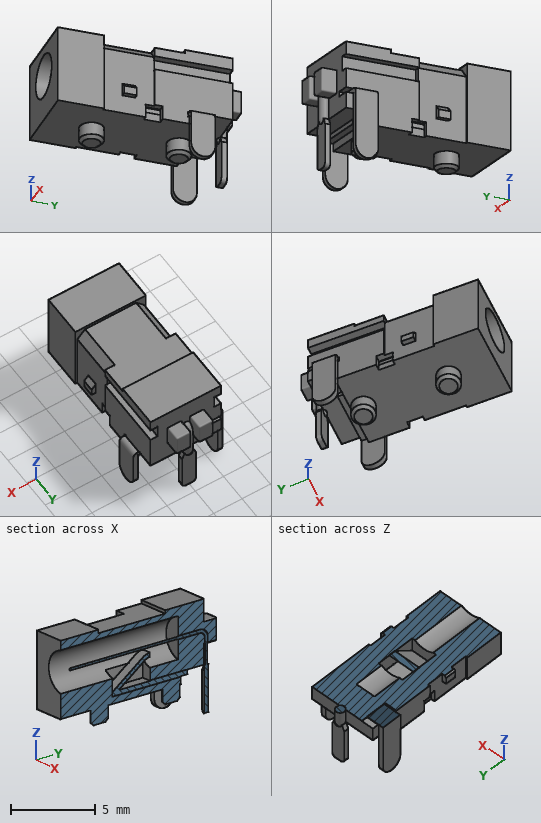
import cadquery as cq
import math


WIDTH = 5.0
LENGTH = 11.0
HEIGHT = 5.0
HALF_WIDTH = WIDTH / 2

COLLAR_LENGTH = 2.9
WAIST_END = 6.1
WAIST_HALF_WIDTH = 2.36
WAIST_SHOULDER_Z = 4.2
WAIST_TOP_HALF_WIDTH = 1.81
TOP_STEP_END = 8.0
LOWERED_TOP_Z = 4.78

GROOVE_BOTTOM_Z = 3.3
GROOVE_TOP_Z = WAIST_SHOULDER_Z
GROOVE_DEPTH = 0.5

CATCH_CENTER_Y = 4.5
CATCH_LENGTH = 0.8
CATCH_BOTTOM_Z = 1.2
CATCH_EDGE_Z = 1.7
CATCH_HALF_SPAN = 2.67
CATCH_TOP_Z = CATCH_EDGE_Z + CATCH_HALF_SPAN - WAIST_HALF_WIDTH

WINDOW_CENTER_Y = 6.08
WINDOW_LENGTH = 1.02
WINDOW_HEIGHT = 0.87
WINDOW_WALL_X = 2.08

BORE_DIAMETER = 2.8
BORE_Z = 3.0
BORE_DEPTH = 9.0

PEG_DIAMETER = 1.5
PEG_LENGTH = 1.0
PEG_CHAMFER = 0.2
PEG_POSITIONS_Y = (3.0, 8.5)

BOSS_WIDTH = 1.0
BOSS_LENGTH = 1.0
BOSS_BOTTOM_Z = 2.1
BOSS_HEIGHT = 1.5
BOSS_CENTER_X = 0.795
BOSS_FILLET = 0.1

STRIP_THICKNESS = 0.3
LEG_THICKNESS = 0.35
LEG_WIDTH = 1.5
LEG_OUTER_X = 2.9
LEG_BOTTOM_Z = -2.3
BEND_RADIUS = 0.3
SLOT_CLEARANCE = 0.07

SWITCH_Y = 9.8
SWITCH_TOP_Z = 2.1
SWITCH_INNER_X = 1.6

SLEEVE_Y = 9.0
SLEEVE_TOP_Z = 0.8
SLEEVE_BOTTOM_Z = SLEEVE_TOP_Z - STRIP_THICKNESS
SLEEVE_FRONT_Y = 4.0
SLEEVE_REAR_Y = SLEEVE_Y + LEG_WIDTH / 2

SPRING_WIDTH = 1.93
SPRING_CREST_Z = 2.59
SPRING_ANGLE = math.radians(35)
SPRING_CREST_RADIUS = 0.95

UNDERCUT_Z = SLEEVE_TOP_Z
UNDERCUT_START = PEG_POSITIONS_Y[1] + PEG_DIAMETER / 2

PIN_DIAMETER = 0.65
PIN_RADIUS = PIN_DIAMETER / 2
PIN_TIP_CENTER_Y = 0.75
PIN_BEND_RADIUS = 0.5
SHANK_Y = 11.19
SHANK_BOTTOM_Z = 0.8
TAIL_WIDTH = 1.0
TAIL_THICKNESS = 0.36
TAIL_SHOULDER_Z = 0.4
TAIL_FILLET = 0.3


def block(x_min, x_max, y_min, y_max, z_min, z_max):
    """Box between the given limits."""
    size = (x_max - x_min, y_max - y_min, z_max - z_min)
    return cq.Workplane("XY").box(*size, centered=False).translate((x_min, y_min, z_min))


def prism_along_y(points, y_min, y_max):
    """Outline of (x, z) points, extruded from y_min to y_max."""
    return cq.Workplane("XZ", origin=(0, y_min, 0)).polyline(points).close().extrude(y_min - y_max)


def mirrored_pair(shape):
    """The shape together with its copy on the other side of the YZ plane."""
    return shape.union(shape.mirror("YZ"))



def make_center_pin():
    bend_middle = PIN_BEND_RADIUS * math.sin(math.radians(45))
    bend_center_y = SHANK_Y - PIN_BEND_RADIUS
    bend_center_z = BORE_Z - PIN_BEND_RADIUS
    axis_line = (
        cq.Workplane("YZ")
        .moveTo(PIN_TIP_CENTER_Y, BORE_Z)
        .lineTo(bend_center_y, BORE_Z)
        .threePointArc(
            (bend_center_y + bend_middle, bend_center_z + bend_middle), (SHANK_Y, bend_center_z)
        )
        .lineTo(SHANK_Y, SHANK_BOTTOM_Z)
    )
    pin = (
        cq.Workplane("XZ", origin=(0, PIN_TIP_CENTER_Y, BORE_Z)).circle(PIN_RADIUS).sweep(axis_line)
    )
    ball = cq.Workplane("XY").sphere(PIN_RADIUS)
    tip_ball = ball.rotate((0, 0, 0), (1, 0, 0), 90).translate((0, PIN_TIP_CENTER_Y, BORE_Z))
    shank_ball = ball.translate((0, SHANK_Y, SHANK_BOTTOM_Z))
    return pin.union(tip_ball).union(shank_ball).union(make_pin_tail())


def make_pin_tail():
    half_width = TAIL_WIDTH / 2
    outline = [
        (-half_width, LEG_BOTTOM_Z),
        (half_width, LEG_BOTTOM_Z),
        (half_width, TAIL_SHOULDER_Z),
        (PIN_RADIUS, SHANK_BOTTOM_Z),
        (-PIN_RADIUS, SHANK_BOTTOM_Z),
        (-half_width, TAIL_SHOULDER_Z),
    ]
    tail = prism_along_y(outline, LENGTH, LENGTH + TAIL_THICKNESS)
    lower_corners = cq.selectors.BoxSelector(
        (-TAIL_WIDTH, 0, LEG_BOTTOM_Z - TAIL_FILLET),
        (TAIL_WIDTH, 2 * LENGTH, LEG_BOTTOM_Z + TAIL_FILLET),
    )
    return tail.edges("|Y").edges(lower_corners).fillet(TAIL_FILLET)



def make_bent_leg(center_y, top_z, inner_x):
    """Strip running out to +X from inner_x, then bent down into a round-ended leg."""
    y_min = center_y - LEG_WIDTH / 2
    y_max = center_y + LEG_WIDTH / 2
    leg_inner_x = LEG_OUTER_X - LEG_THICKNESS
    strip = block(inner_x, LEG_OUTER_X, y_min, y_max, top_z - STRIP_THICKNESS, top_z)
    end_radius = LEG_WIDTH / 2
    end_center_z = LEG_BOTTOM_Z + end_radius
    leg = block(leg_inner_x, LEG_OUTER_X, y_min, y_max, end_center_z, top_z)
    bent_strip = strip.union(leg).edges("|Y and >X and >Z").fillet(BEND_RADIUS)
    round_end = (
        cq.Workplane("YZ", origin=(leg_inner_x, center_y, end_center_z))
        .circle(end_radius)
        .extrude(LEG_THICKNESS)
    )
    return bent_strip.union(round_end)


def make_switch_terminal():
    return make_bent_leg(SWITCH_Y, SWITCH_TOP_Z, SWITCH_INNER_X).mirror("YZ")


def make_sleeve_plate():
    """Base plate with a locking lug that ends flush with the wall of each side window."""
    half_width = SPRING_WIDTH / 2
    plate = block(
        -half_width, half_width, SLEEVE_FRONT_Y, SLEEVE_REAR_Y, SLEEVE_BOTTOM_Z, SLEEVE_TOP_Z
    )
    lugs = block(
        -WINDOW_WALL_X,
        WINDOW_WALL_X,
        WINDOW_CENTER_Y - WINDOW_LENGTH / 2,
        WINDOW_CENTER_Y + WINDOW_LENGTH / 2,
        SLEEVE_BOTTOM_Z,
        SLEEVE_TOP_Z,
    )
    return plate.union(lugs)


def spring_crest_y():
    """Y of the crest line, where the rounded top of the spring becomes level."""
    arc_rise = SPRING_CREST_RADIUS * (1 - math.cos(SPRING_ANGLE))
    arc_run = SPRING_CREST_RADIUS * math.sin(SPRING_ANGLE)
    ramp_rise = SPRING_CREST_Z - arc_rise - SLEEVE_TOP_Z
    return SLEEVE_FRONT_Y + ramp_rise / math.tan(SPRING_ANGLE) + arc_run


def make_contact_spring():
    crest_y = spring_crest_y()
    center_z = SPRING_CREST_Z - SPRING_CREST_RADIUS

    def arc_point(radius, angle):
        return (crest_y - radius * math.sin(angle), center_z + radius * math.cos(angle))

    inner_radius = SPRING_CREST_RADIUS - STRIP_THICKNESS
    under_start_y = SLEEVE_FRONT_Y + STRIP_THICKNESS / math.sin(SPRING_ANGLE)
    profile = (
        cq.Workplane("YZ")
        .moveTo(SLEEVE_FRONT_Y, SLEEVE_TOP_Z)
        .lineTo(*arc_point(SPRING_CREST_RADIUS, SPRING_ANGLE))
        .threePointArc(
            arc_point(SPRING_CREST_RADIUS, SPRING_ANGLE / 2), arc_point(SPRING_CREST_RADIUS, 0)
        )
        .lineTo(*arc_point(inner_radius, 0))
        .threePointArc(arc_point(inner_radius, SPRING_ANGLE / 2), arc_point(inner_radius, SPRING_ANGLE))
        .lineTo(under_start_y, SLEEVE_TOP_Z)
        .close()
    )
    return profile.extrude(SPRING_WIDTH / 2, both=True)


def make_sleeve_terminal():
    leg = make_bent_leg(SLEEVE_Y, SLEEVE_TOP_Z, 0)
    return make_sleeve_plate().union(leg).union(make_contact_spring())



def make_outer_block():
    body = block(-HALF_WIDTH, HALF_WIDTH, 0, LENGTH, 0, HEIGHT)
    lowered_top = block(
        -HALF_WIDTH, HALF_WIDTH, COLLAR_LENGTH, TOP_STEP_END, LOWERED_TOP_Z, HEIGHT
    )
    waist_side = prism_along_y(
        [
            (HALF_WIDTH, 0),
            (WAIST_HALF_WIDTH, 0),
            (WAIST_HALF_WIDTH, WAIST_SHOULDER_Z),
            (WAIST_TOP_HALF_WIDTH, LOWERED_TOP_Z),
            (HALF_WIDTH, LOWERED_TOP_Z),
        ],
        COLLAR_LENGTH,
        WAIST_END,
    )
    groove = block(
        HALF_WIDTH - GROOVE_DEPTH, HALF_WIDTH, WAIST_END, LENGTH, GROOVE_BOTTOM_Z, GROOVE_TOP_Z
    )
    window = block(
        WINDOW_WALL_X,
        HALF_WIDTH,
        WINDOW_CENTER_Y - WINDOW_LENGTH / 2,
        WINDOW_CENTER_Y + WINDOW_LENGTH / 2,
        0,
        WINDOW_HEIGHT,
    )
    undercut = block(-HALF_WIDTH, HALF_WIDTH, UNDERCUT_START, LENGTH, 0, UNDERCUT_Z)
    body = body.cut(lowered_top).cut(undercut)
    for side_cut in (waist_side, groove, window):
        body = body.cut(mirrored_pair(side_cut))
    return body


def make_catches():
    catch = prism_along_y(
        [
            (0, CATCH_BOTTOM_Z),
            (CATCH_HALF_SPAN, CATCH_BOTTOM_Z),
            (CATCH_HALF_SPAN, CATCH_EDGE_Z),
            (WAIST_HALF_WIDTH, CATCH_TOP_Z),
            (0, CATCH_TOP_Z),
        ],
        CATCH_CENTER_Y - CATCH_LENGTH / 2,
        CATCH_CENTER_Y + CATCH_LENGTH / 2,
    )
    return mirrored_pair(catch)


def make_peg(center_y):
    peg = cq.Workplane("XY", origin=(0, center_y, 0)).circle(PEG_DIAMETER / 2).extrude(-PEG_LENGTH)
    return peg.faces("<Z").chamfer(PEG_CHAMFER)


def make_bosses():
    boss = block(
        BOSS_CENTER_X - BOSS_WIDTH / 2,
        BOSS_CENTER_X + BOSS_WIDTH / 2,
        LENGTH,
        LENGTH + BOSS_LENGTH,
        BOSS_BOTTOM_Z,
        BOSS_BOTTOM_Z + BOSS_HEIGHT,
    )
    return mirrored_pair(boss.edges("|Y or >Y").fillet(BOSS_FILLET))


def make_terminal_slots():
    """Side slots through which the two terminals leave; both are open to the rear."""
    switch_slot = block(
        -HALF_WIDTH,
        -SWITCH_INNER_X,
        SWITCH_Y - LEG_WIDTH / 2 - SLOT_CLEARANCE,
        LENGTH,
        SWITCH_TOP_Z - STRIP_THICKNESS,
        SWITCH_TOP_Z,
    )
    sleeve_slot = block(
        0,
        HALF_WIDTH,
        SLEEVE_Y - LEG_WIDTH / 2 - SLOT_CLEARANCE,
        LENGTH,
        SLEEVE_BOTTOM_Z,
        SLEEVE_TOP_Z,
    )
    return switch_slot.union(sleeve_slot)


def make_bore():
    """Socket bore, with a pocket in its floor for the contact spring."""
    bore = (
        cq.Workplane("XZ", origin=(0, 0, BORE_Z)).circle(BORE_DIAMETER / 2).extrude(-BORE_DEPTH)
    )
    half_width = SPRING_WIDTH / 2
    pocket = block(-half_width, half_width, SLEEVE_FRONT_Y, spring_crest_y(), SLEEVE_TOP_Z, BORE_Z)
    return bore.union(pocket)


def make_housing(pin):
    body = make_outer_block().union(make_catches()).union(make_bosses())
    for center_y in PEG_POSITIONS_Y:
        body = body.union(make_peg(center_y))
    body = body.cut(make_bore()).cut(make_terminal_slots())
    return body.cut(make_sleeve_plate()).cut(pin)


center_pin = make_center_pin()
switch_terminal = make_switch_terminal()
sleeve_terminal = make_sleeve_terminal()
housing = make_housing(center_pin)

bodies = (housing, center_pin, switch_terminal, sleeve_terminal)
result = cq.Compound.makeCompound([body.solids().val() for body in bodies])